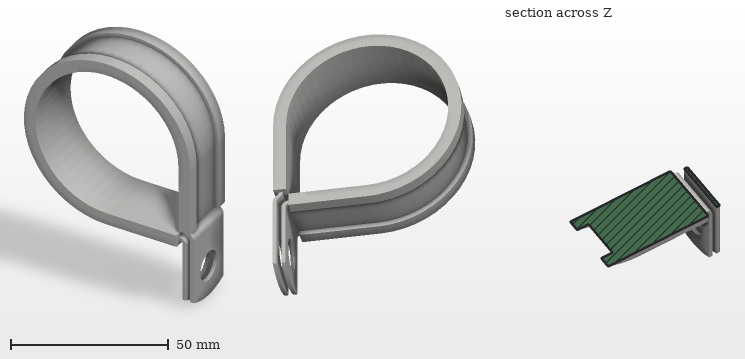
import cadquery as cq
import math


outer_radius = 30.4
cushion_thickness = 4.3
cushion_width = 22.1
groove_width = 13.7
groove_depth = 1.5
side_leg_end_z = -24.25
bottom_leg_end_x = 25.5

strap_thickness = 1.25
strap_width = 18.9
total_height = 83.6
outer_tab_face_x = 30.85
tab_gap = 1.6
tab_end_sagitta = 2.25
hole_diameter = 10.45
hole_height_above_end = 11.1
bend_inner_radius = 1.0

strap_outer_radius = outer_radius - groove_depth
strap_inner_radius = strap_outer_radius - strap_thickness
bend_outer_radius = bend_inner_radius + strap_thickness
tab_end_z = outer_radius - total_height
inner_tab_face_x = outer_tab_face_x - strap_thickness - tab_gap


def extrude_centred(profile, width):
    """Extrude an XZ profile equally to both sides of the Y = 0 plane."""
    return profile.extrude(width / 2, both=True)


def loop_band(inner, outer, width):
    """Three-quarter ring with straight tangent legs going down and to the right."""
    diagonal = math.sqrt(0.5)
    profile = (
        cq.Workplane("XZ")
        .moveTo(outer, side_leg_end_z)
        .lineTo(outer, 0)
        .threePointArc((-outer * diagonal, outer * diagonal), (0, -outer))
        .lineTo(bottom_leg_end_x, -outer)
        .lineTo(bottom_leg_end_x, -inner)
        .lineTo(0, -inner)
        .threePointArc((-inner * diagonal, inner * diagonal), (inner, 0))
        .lineTo(inner, side_leg_end_z)
        .close()
    )
    return extrude_centred(profile, width)


def outer_tab():
    """Tab below the side leg, jogged outward at 45 degrees through two rounded bends."""
    inner_face_x = outer_tab_face_x - strap_thickness
    cos_45 = math.sqrt(0.5)
    upper_bend_x = strap_outer_radius + bend_inner_radius
    lower_bend_x = outer_tab_face_x - bend_outer_radius
    bend_spacing_z = (bend_inner_radius + bend_outer_radius) / cos_45 - (upper_bend_x - lower_bend_x)
    upper_bend_z = side_leg_end_z
    lower_bend_z = upper_bend_z - bend_spacing_z

    def upper_tangent(radius):
        return (upper_bend_x - radius * cos_45, upper_bend_z - radius * cos_45)

    def lower_tangent(radius):
        return (lower_bend_x + radius * cos_45, lower_bend_z + radius * cos_45)

    profile = (
        cq.Workplane("XZ")
        .moveTo(strap_outer_radius, upper_bend_z)
        .radiusArc(upper_tangent(bend_inner_radius), -bend_inner_radius)
        .lineTo(*lower_tangent(bend_outer_radius))
        .radiusArc((outer_tab_face_x, lower_bend_z), bend_outer_radius)
        .lineTo(outer_tab_face_x, tab_end_z)
        .lineTo(inner_face_x, tab_end_z)
        .lineTo(inner_face_x, lower_bend_z)
        .radiusArc(lower_tangent(bend_inner_radius), -bend_inner_radius)
        .lineTo(*upper_tangent(bend_outer_radius))
        .radiusArc((strap_inner_radius, upper_bend_z), bend_outer_radius)
        .close()
    )
    return extrude_centred(profile, strap_width)


def inner_tab():
    """Tab beyond the bottom leg, bent down through a quarter turn."""
    inner_face_x = inner_tab_face_x - strap_thickness
    bend_x = inner_tab_face_x - bend_outer_radius
    bend_z = -strap_inner_radius - bend_outer_radius
    profile = (
        cq.Workplane("XZ")
        .moveTo(bottom_leg_end_x, -strap_inner_radius)
        .lineTo(bend_x, -strap_inner_radius)
        .radiusArc((inner_tab_face_x, bend_z), bend_outer_radius)
        .lineTo(inner_tab_face_x, tab_end_z)
        .lineTo(inner_face_x, tab_end_z)
        .lineTo(inner_face_x, bend_z)
        .radiusArc((bend_x, -strap_outer_radius), -bend_inner_radius)
        .lineTo(bottom_leg_end_x, -strap_outer_radius)
        .close()
    )
    return extrude_centred(profile, strap_width)


def tab_outline():
    """Tab shape with a rounded end and a bolt hole, extended through both tabs."""
    half_width = strap_width / 2
    shoulder_z = tab_end_z + tab_end_sagitta
    return (
        cq.Workplane("YZ")
        .moveTo(-half_width, 0)
        .lineTo(-half_width, shoulder_z)
        .threePointArc((0, tab_end_z), (half_width, shoulder_z))
        .lineTo(half_width, 0)
        .close()
        .moveTo(0, tab_end_z + hole_height_above_end)
        .circle(hole_diameter / 2)
        .extrude(outer_tab_face_x)
    )


cushion = loop_band(outer_radius - cushion_thickness, outer_radius, cushion_width)
groove = loop_band(strap_outer_radius, outer_radius, groove_width)
tabs = outer_tab().union(inner_tab()).intersect(tab_outline())

result = cushion.cut(groove).union(tabs)